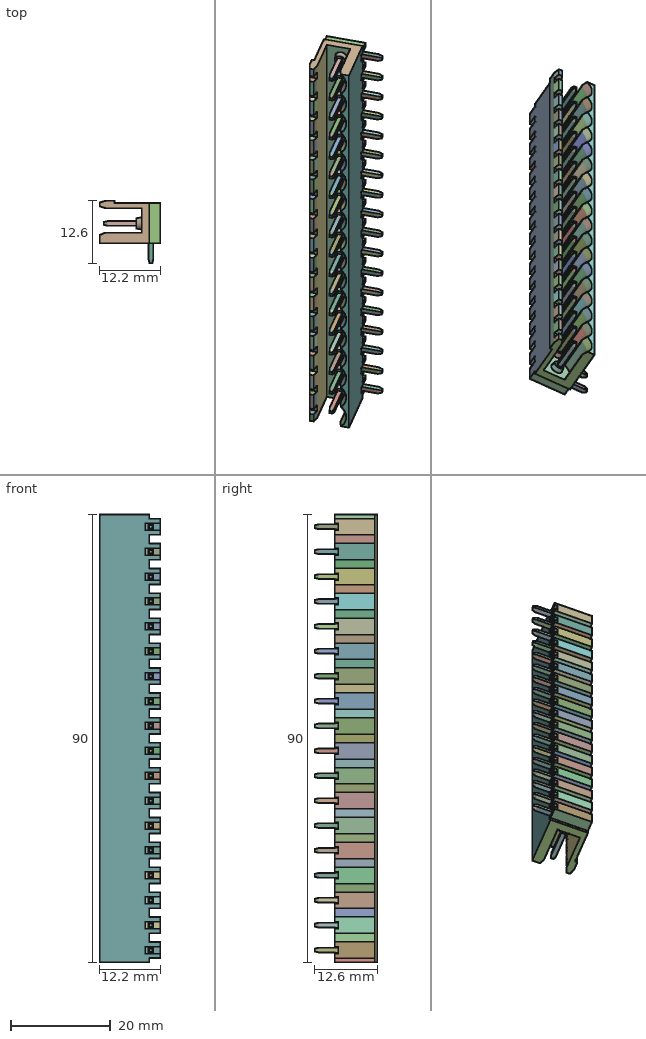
import cadquery as cq

PIN_COUNT = 18
PITCH = 5.0
LENGTH = PIN_COUNT * PITCH
PIN_HEIGHTS = [(index + 0.5) * PITCH for index in range(PIN_COUNT)]

FOOT_END = 12.2
HOUSING_END = 10.0
FLOOR_X = 8.4
TAIL_LENGTH = 4.0
FRONT_Y = TAIL_LENGTH
BACK_Y = 12.1
LATCH_Y = 12.6
CAVITY_BACK_Y = 11.0
LATCH_LENGTH = 3.0
LIP_DEPTH = 1.3
OUTER_BEVEL = 0.4
INNER_BEVEL = 0.4

NOTCH_WIDTH = 1.4
NOTCH_DEPTH = LIP_DEPTH

PIN_Y = 8.0
WALL_Y = 6.15
BAY_RADIUS = 3.0
BAY_MOUTH_RADIUS = 3.4
BAY_MOUTH_DEPTH = 1.5

FOOT_WIDTH = 3.3
GROOVE_WIDTH = 1.4
GROOVE_START = 9.2
GROOVE_DEPTH = 0.7

PIN_SIZE = 1.0
PIN_TIP_SIZE = 0.6
PIN_TIP_LENGTH = 0.8
PIN_START = 0.8
TAIL_X = 10.3
COLLAR_DIAMETER = 2.5
COLLAR_TOP_DIAMETER = 2.1
COLLAR_HEIGHT = 1.1


def box(x_range, y_range, z_range):
    """Axis-aligned box between the given limits."""
    sizes = [high - low for low, high in (x_range, y_range, z_range)]
    corner = (x_range[0], y_range[0], z_range[0])
    return cq.Workplane("XY").box(*sizes, centered=False).translate(corner)


def centred(middle, width):
    """Limits of a span of the given width about its middle."""
    return (middle - width / 2, middle + width / 2)


def make_housing():
    """Channel section with a latch strip along the tip of the far wall."""
    section = [
        (0, FRONT_Y),
        (HOUSING_END, FRONT_Y),
        (HOUSING_END, BACK_Y),
        (LATCH_LENGTH, BACK_Y),
        (LATCH_LENGTH, LATCH_Y),
        (LIP_DEPTH, LATCH_Y),
        (0, LATCH_Y - OUTER_BEVEL),
        (0, CAVITY_BACK_Y + INNER_BEVEL),
        (LIP_DEPTH, CAVITY_BACK_Y),
        (FLOOR_X, CAVITY_BACK_Y),
        (FLOOR_X, WALL_Y),
        (0, WALL_Y),
    ]
    return cq.Workplane("XY").polyline(section).close().extrude(LENGTH)


def make_bay(z):
    """Round bay around one pin, widened to a cone at its mouth and kept within the scalloped wall."""
    plane = cq.Plane(origin=(0, PIN_Y, z), xDir=(0, 1, 0), normal=(1, 0, 0))
    bore = cq.Workplane(plane).circle(BAY_RADIUS).extrude(FLOOR_X)
    mouth = (
        cq.Workplane(plane)
        .circle(BAY_MOUTH_RADIUS)
        .workplane(offset=BAY_MOUTH_DEPTH)
        .circle(BAY_RADIUS)
        .loft()
    )
    cell = box((0, FLOOR_X), (FRONT_Y, WALL_Y), centred(z, PITCH))
    return bore.union(mouth).intersect(cell)


def make_notch(z):
    """Gap in the lip of the latch wall."""
    return box((0, NOTCH_DEPTH), (CAVITY_BACK_Y, LATCH_Y), centred(z, NOTCH_WIDTH))


def make_foot(z):
    return box((HOUSING_END, FOOT_END), (FRONT_Y, BACK_Y), centred(z, FOOT_WIDTH))


def make_groove(z):
    """Recess around a tail pin, open at the end of the foot."""
    return box((GROOVE_START, FOOT_END), (FRONT_Y, FRONT_Y + GROOVE_DEPTH), centred(z, GROOVE_WIDTH))


def make_pin(plane, length):
    """Square pin with a tapered tip, starting at the tip."""
    tip = (
        cq.Workplane(plane)
        .rect(PIN_TIP_SIZE, PIN_TIP_SIZE)
        .workplane(offset=PIN_TIP_LENGTH)
        .rect(PIN_SIZE, PIN_SIZE)
        .loft(ruled=True)
    )
    shank = (
        cq.Workplane(plane)
        .workplane(offset=PIN_TIP_LENGTH)
        .rect(PIN_SIZE, PIN_SIZE)
        .extrude(length - PIN_TIP_LENGTH)
    )
    return tip.union(shank)


def make_contact(z):
    """Angled contact: mating pin along X with its collar, and tail pin along Y."""
    mating_plane = cq.Plane(origin=(PIN_START, PIN_Y, z), xDir=(0, 1, 0), normal=(1, 0, 0))
    mating_pin = make_pin(mating_plane, HOUSING_END - PIN_START)
    tail_plane = cq.Plane(origin=(TAIL_X, 0, z), xDir=(1, 0, 0), normal=(0, 1, 0))
    tail_pin = make_pin(tail_plane, PIN_Y)
    collar_plane = cq.Plane(
        origin=(FLOOR_X - COLLAR_HEIGHT, PIN_Y, z), xDir=(0, 1, 0), normal=(1, 0, 0)
    )
    collar = (
        cq.Workplane(collar_plane)
        .circle(COLLAR_TOP_DIAMETER / 2)
        .workplane(offset=COLLAR_HEIGHT)
        .circle(COLLAR_DIAMETER / 2)
        .loft()
    )
    return mating_pin.union(tail_pin).union(collar)


def at_every_pin(make_feature):
    """One copy of a feature at each pin, as a list of shapes."""
    return [make_feature(z).val() for z in PIN_HEIGHTS]


housing = make_housing().val()
housing = housing.cut(*at_every_pin(make_bay), *at_every_pin(make_notch))
housing = housing.fuse(*at_every_pin(make_foot))
housing = housing.cut(*at_every_pin(make_groove))
part = housing.fuse(*at_every_pin(make_contact)).clean()
result = cq.Workplane("XY").newObject(part.Solids())